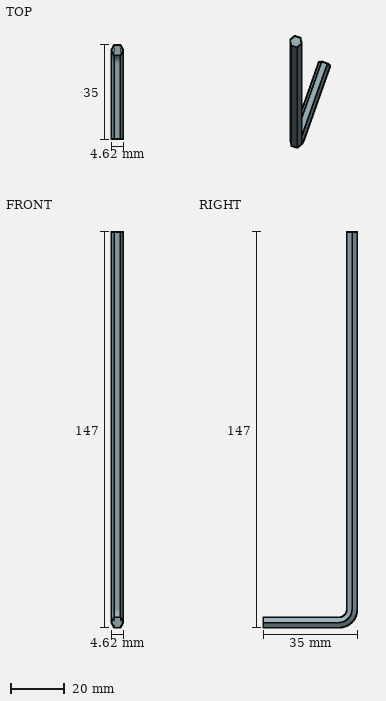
import cadquery as cq
import math

long_arm = 147.0
short_arm = 35.0
across_flats = 4.0
inner_bend_radius = 3.0

across_corners = across_flats / math.cos(math.pi / 6)
bend_radius = inner_bend_radius + across_flats / 2

foot_z = across_flats / 2
tip_y = across_flats / 2 - short_arm
bend_end_z = foot_z + bend_radius
arc_offset = bend_radius * (1 - math.cos(math.pi / 4))

centre_line = (
    cq.Workplane("YZ")
    .moveTo(0, long_arm)
    .lineTo(0, bend_end_z)
    .threePointArc((-arc_offset, foot_z + arc_offset), (-bend_radius, foot_z))
    .lineTo(tip_y, foot_z)
)

result = (
    cq.Workplane("XY", origin=(0, 0, long_arm))
    .polygon(6, across_corners)
    .sweep(centre_line)
)